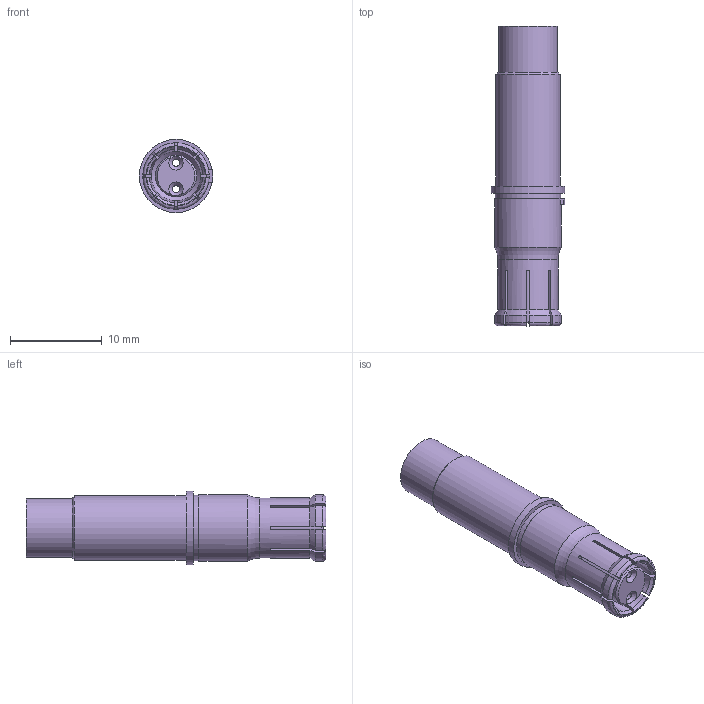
import cadquery as cq

length = 32.74

lip_radius = 3.62
neck_radius = 3.28
barrel_radius = 3.62
groove_radius = 3.57
flange_radius = 4.0
body_radius = 3.5
tail_radius = 3.2

lip_back = 1.17
lip_ramp_end = 1.77
neck_end = 7.27
barrel_start = 8.57
groove_start = 13.87
flange_start = 14.47
flange_end = 15.27
body_end = 27.68
lip_round = 0.35
body_chamfer = 0.2

mouth_radius = 3.2
throat_radius = 2.91
socket_radius = 2.71

insert_radius = 2.26
insert_recess = 0.28
insert_chamfer = 0.2

slot_count = 8
slot_width = 0.3
slot_length = 6.1

hole_offset = 1.43
hole_radius = 0.38
hole_mouth_radius = 0.78
hole_mouth_depth = 0.4

key_width = 1.5
key_start = 13.25


def cylinder_along_y(radius, start, end):
    return cq.Workplane("XZ", origin=(0, start, 0)).circle(radius).extrude(start - end)


def make_shell():
    """Solid of revolution giving every outer diameter."""
    blend_length = barrel_start - neck_end
    blend_rise = barrel_radius - neck_radius
    blend_radius = (blend_length**2 + blend_rise**2) / (2 * blend_rise)
    profile = (
        cq.Workplane("XY")
        .lineTo(lip_radius - lip_round, 0)
        .radiusArc((lip_radius, lip_round), -lip_round)
        .lineTo(lip_radius, lip_back)
        .lineTo(neck_radius, lip_ramp_end)
        .lineTo(neck_radius, neck_end)
        .radiusArc((barrel_radius, barrel_start), blend_radius)
        .lineTo(barrel_radius, groove_start)
        .lineTo(groove_radius, groove_start)
        .lineTo(groove_radius, flange_start)
        .lineTo(flange_radius, flange_start)
        .lineTo(flange_radius, flange_end)
        .lineTo(body_radius, flange_end)
        .lineTo(body_radius, body_end - body_chamfer)
        .lineTo(body_radius - body_chamfer, body_end)
        .lineTo(tail_radius, body_end)
        .lineTo(tail_radius, length)
        .lineTo(0, length)
        .close()
    )
    return profile.revolve(360, (0, 0, 0), (0, 1, 0))


def make_socket():
    """Bore cut out of the mouth, tapering to the slot ends, where it funnels down to the insert."""
    mouth_chamfer = mouth_radius - throat_radius
    floor_depth = slot_length + socket_radius - insert_radius
    profile = (
        cq.Workplane("XY")
        .lineTo(mouth_radius, 0)
        .lineTo(throat_radius, mouth_chamfer)
        .lineTo(socket_radius, slot_length)
        .lineTo(insert_radius, floor_depth)
        .lineTo(0, floor_depth)
        .close()
    )
    return profile.revolve(360, (0, 0, 0), (0, 1, 0))


def make_insert():
    """Central plug that fills the socket to just inside the mouth and overlaps the shell behind it."""
    plug = cylinder_along_y(insert_radius, insert_recess, flange_start)
    return plug.faces("<Y").chamfer(insert_chamfer)


def make_slots():
    """Radial slots that split the mouth into spring fingers."""
    slot = cq.Workplane("XY").box(flange_radius, slot_length, slot_width, centered=(False, False, True))
    slots = slot
    for index in range(1, slot_count):
        slots = slots.union(slot.rotate((0, 0, 0), (0, 1, 0), index * 360 / slot_count))
    return slots


def make_contact_hole(z):
    """Through hole with a conical lead-in at the insert face."""
    cone = cq.Solid.makeCone(
        hole_mouth_radius,
        hole_radius,
        hole_mouth_depth,
        cq.Vector(0, insert_recess, z),
        cq.Vector(0, 1, 0),
    )
    bore = cylinder_along_y(hole_radius, 0, length).translate((0, 0, z))
    return bore.union(cq.Workplane(cone))


def make_key():
    """Small tab beside the groove, as tall as the flange."""
    bar = cq.Workplane("XY").box(
        flange_radius, groove_start - key_start, key_width, centered=(False, False, True)
    )
    bar = bar.translate((0, key_start, 0))
    return bar.intersect(cylinder_along_y(flange_radius, key_start, groove_start))


result = make_shell().union(make_key())
result = result.cut(make_socket()).cut(make_slots())
result = result.union(make_insert())
for side in (1, -1):
    result = result.cut(make_contact_hole(side * hole_offset))